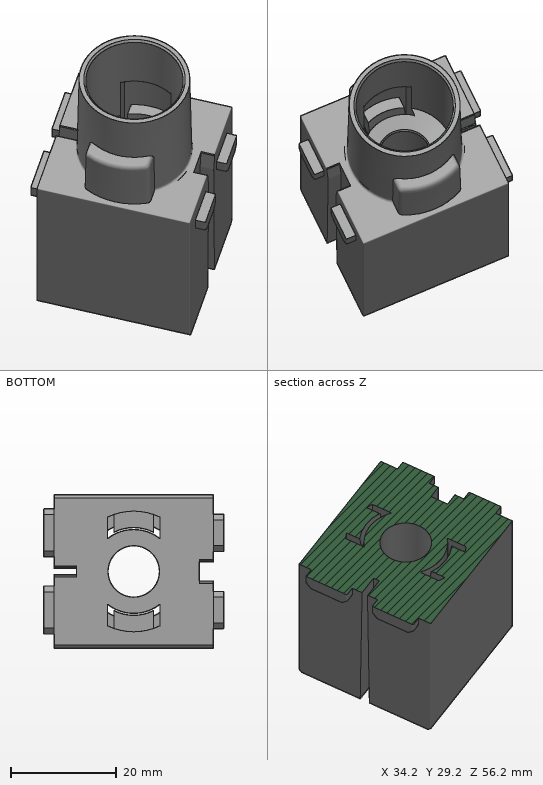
import cadquery as cq
import math

height = 56.2
block_length = 30.3
block_width = 29.2
block_height = 35.05
overall_length = 34.2
parting_height = 31.5
edge_radius = 0.195
base_chamfer = 0.6

draft_angle = 1.0

tube_base_radius = 10.9
tube_top_radius = tube_base_radius - (height - block_height) * math.tan(math.radians(draft_angle))
tube_foot_radius = 0.5
bore_radius = 18.5 / 2
rim_chamfer = 0.4

funnel_top = 33.7
funnel_depth = 0.85
hole_radius = 9.7 / 2
hole_chamfer = 0.255

rib_width = 13.0
rib_radius = 13.55
rib_top = 45.85
rib_fillet = 1.0

pocket_width = 9.9
pocket_inner_radius = 8.0
pocket_outer_radius = 11.45
pocket_top = 43.85
tooth_width = 7.55
tooth_tip_radius = 8.3
tooth_top = funnel_top
tooth_height = 5.6

narrow_slot_widths = (2.3, 1.7, 1.2, 2.0)
wide_slot_widths = (4.9, 3.6, 3.6, 4.5)
slot_mouth_chamfer = 0.15
wide_slot_depth = 2.7

lugs = [(-1, 2.75, 11.9), (1, 3.75, 10.9)]
lug_height = 3.5
lug_corner = 1.1


def make_block():
    """Block with chamfered long base edges and lightly rounded upright and top edges."""
    block = cq.Workplane("XY").box(block_length, block_width, block_height, centered=(True, True, False))
    block = block.faces("<Z").edges("|X").chamfer(base_chamfer)
    return block.edges("|Z or >Z").fillet(edge_radius)


def make_tube():
    foot_z = block_height + tube_foot_radius
    foot_outer = tube_base_radius + tube_foot_radius
    to_arc = tube_foot_radius * (1 - math.sqrt(0.5))
    return (
        cq.Workplane("XZ")
        .moveTo(0, funnel_top)
        .lineTo(foot_outer, funnel_top)
        .lineTo(foot_outer, block_height)
        .threePointArc((tube_base_radius + to_arc, block_height + to_arc), (tube_base_radius, foot_z))
        .lineTo(tube_top_radius, height)
        .lineTo(0, height)
        .close()
        .revolve()
    )


def make_ribs():
    """Drafted strip of a disc with rounded top and corner edges on both sides of the tube."""
    rib_height = rib_top - block_height
    corner_y = math.sqrt(rib_radius**2 - (rib_width / 2) ** 2)
    ribs = (
        cq.Workplane("XY", origin=(0, 0, block_height))
        .moveTo(-rib_width / 2, -corner_y)
        .threePointArc((0, -rib_radius), (rib_width / 2, -corner_y))
        .lineTo(rib_width / 2, corner_y)
        .threePointArc((0, rib_radius), (-rib_width / 2, corner_y))
        .close()
        .extrude(rib_height, taper=draft_angle)
    )
    return ribs.edges("not <Z").fillet(rib_fillet)


def make_lug(side, near, far):
    length = overall_length / 2
    mid_y = (near + far) / 2
    bottom = parting_height - lug_height
    lug = (
        cq.Workplane("XY")
        .box(length, far - near, lug_height, centered=(False, True, False))
        .edges("<Z and |X")
        .chamfer(lug_corner)
        .faces(">X")
        .edges("not >Z")
        .fillet(edge_radius)
        .translate((0, mid_y, bottom))
    )
    lug = lug.union(lug.mirror("XZ"))
    return lug.mirror("YZ") if side < 0 else lug


def make_bore():
    """Bore with chamfered rim, funnel floor and through hole."""
    hole_z = funnel_top - funnel_depth
    return (
        cq.Workplane("XZ")
        .lineTo(hole_radius, 0)
        .lineTo(hole_radius, hole_z - hole_chamfer)
        .lineTo(hole_radius + hole_chamfer, hole_z)
        .lineTo(bore_radius, funnel_top)
        .lineTo(bore_radius, height - rim_chamfer)
        .lineTo(bore_radius + rim_chamfer, height)
        .lineTo(0, height)
        .close()
        .revolve()
    )


def ring(inner, outer, bottom, top):
    return cq.Workplane("XY", origin=(0, 0, bottom)).circle(outer).circle(inner).extrude(top - bottom)


def strip(width):
    """Slab of the given X width over the full block width and height, limiting the pockets and teeth."""
    return cq.Workplane("XY").box(width, block_width, height, centered=(True, True, False))


def make_pockets():
    """Curved pockets open to the base, each with a sloped latch tooth left standing on its outer wall."""
    pockets = ring(pocket_inner_radius, pocket_outer_radius, 0, pocket_top).intersect(strip(pocket_width))
    tooth_bottom = tooth_top - tooth_height
    teeth = (
        cq.Workplane("XZ")
        .moveTo(pocket_outer_radius, tooth_bottom)
        .lineTo(tooth_tip_radius, tooth_bottom)
        .lineTo(bore_radius, tooth_top)
        .lineTo(pocket_outer_radius, tooth_top)
        .close()
        .revolve()
        .intersect(strip(tooth_width))
    )
    return pockets.cut(teeth)


def mirrored_prism(half_widths_and_heights, x_start, x_end):
    """Prism along X, symmetric about the XZ plane, from (half width, Z) points going upwards."""
    left = [(-y, z) for y, z in reversed(half_widths_and_heights)]
    outline = cq.Workplane("YZ", origin=(x_start, 0, 0)).polyline(half_widths_and_heights + left).close()
    return outline.extrude(x_end - x_start)


def make_slot(x_start, x_end, widths):
    """Slot along X, narrowest at the parting height and flared at the top edge."""
    cover_top, cover_bottom, housing_top, base = [width / 2 for width in widths]
    mouth = cover_top + slot_mouth_chamfer
    housing_slot = [(base, 0), (housing_top, parting_height)]
    cover_slot = [
        (cover_bottom, parting_height),
        (cover_top, block_height - slot_mouth_chamfer),
        (mouth, block_height),
        (mouth, block_height + tube_foot_radius),
    ]
    lower = mirrored_prism(housing_slot, x_start, x_end)
    return lower.union(mirrored_prism(cover_slot, x_start, x_end))


result = make_block().union(make_tube()).union(make_ribs())
for side, near, far in lugs:
    result = result.union(make_lug(side, near, far))

half_length = block_length / 2
result = (
    result.cut(make_bore())
    .cut(make_pockets())
    .cut(make_slot(-half_length, -tube_base_radius, narrow_slot_widths))
    .cut(make_slot(half_length - wide_slot_depth, half_length, wide_slot_widths))
)